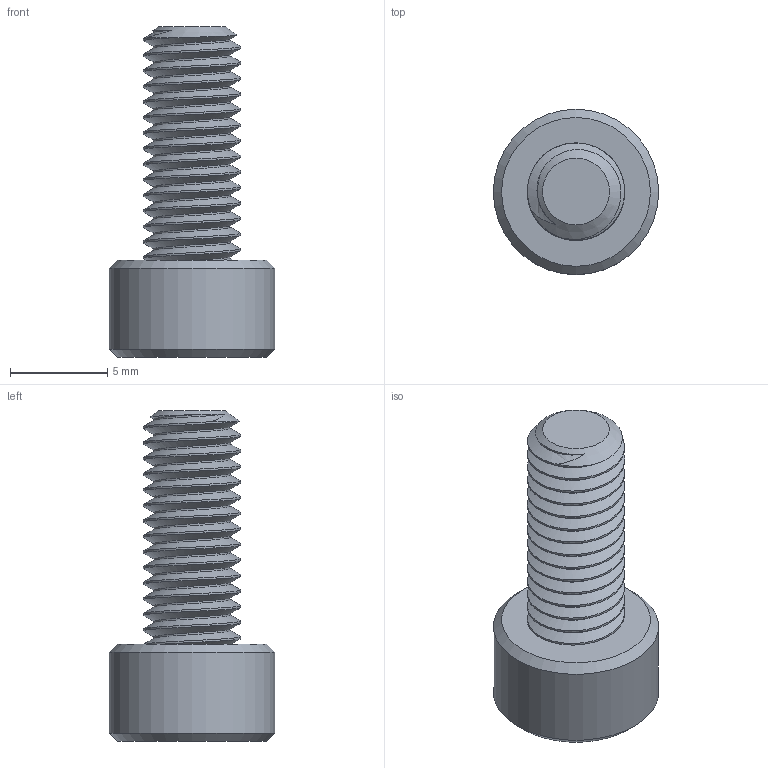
import cadquery as cq
import math

THREAD_DIAMETER = 5.0
PITCH = 0.8
SHANK_LENGTH = 12.0

HEAD_DIAMETER = 8.5
HEAD_HEIGHT = THREAD_DIAMETER
HEAD_CHAMFER = 0.05 * HEAD_DIAMETER

FLANK_HALF_ANGLE = math.radians(30.0)
FLAT_WIDTH = PITCH / 8
CREST_RADIUS = THREAD_DIAMETER / 2
THREAD_DEPTH = (PITCH / 2 - FLAT_WIDTH) / math.tan(FLANK_HALF_ANGLE)
ROOT_RADIUS = CREST_RADIUS - THREAD_DEPTH
CREST_START = 0.53
ROOT_OVERLAP = 0.05

TIP_RADIUS = 1.72
TIP_HEIGHT = 0.57

SHANK_BOTTOM = HEAD_HEIGHT - HEAD_CHAMFER
ENVELOPE_RADIUS = CREST_RADIUS + THREAD_DEPTH
SEAM_ANGLE = 100.0
TOTAL_LENGTH = HEAD_HEIGHT + SHANK_LENGTH

THREAD_START = HEAD_HEIGHT + CREST_START - 2 * PITCH
THREAD_HEIGHT = SHANK_LENGTH + 3 * PITCH


def make_head():
    """Round head, chamfered along both rims."""
    return (
        cq.Workplane("XY")
        .circle(HEAD_DIAMETER / 2)
        .extrude(HEAD_HEIGHT)
        .edges()
        .chamfer(HEAD_CHAMFER)
    )


def make_core():
    """Cylinder at the root radius, reaching beyond the end of the shank."""
    return (
        cq.Workplane("XY", origin=(0, 0, THREAD_START - PITCH))
        .circle(ROOT_RADIUS)
        .extrude(THREAD_HEIGHT + 2 * PITCH)
        .rotate((0, 0, 0), (0, 0, 1), SEAM_ANGLE)
    )


def make_ridge():
    """Right-hand helical ridge, longer than the shank at both ends."""
    inner_radius = ROOT_RADIUS - ROOT_OVERLAP
    crest_half_width = FLAT_WIDTH / 2
    inner_half_width = crest_half_width + (CREST_RADIUS - inner_radius) * math.tan(FLANK_HALF_ANGLE)
    helix = cq.Wire.makeHelix(PITCH, THREAD_HEIGHT, inner_radius).translate(cq.Vector(0, 0, THREAD_START))
    return (
        cq.Workplane("XZ")
        .moveTo(inner_radius, THREAD_START - inner_half_width)
        .lineTo(CREST_RADIUS, THREAD_START - crest_half_width)
        .lineTo(CREST_RADIUS, THREAD_START + crest_half_width)
        .lineTo(inner_radius, THREAD_START + inner_half_width)
        .close()
        .sweep(cq.Workplane(helix), isFrenet=True)
    )


def make_envelope():
    """Space kept when trimming: a wide rod ending in the tip cone."""
    cone_slope = TIP_HEIGHT / (CREST_RADIUS - TIP_RADIUS)
    cone_bottom = TOTAL_LENGTH - (ENVELOPE_RADIUS - TIP_RADIUS) * cone_slope
    return (
        cq.Workplane("XZ")
        .moveTo(0, SHANK_BOTTOM)
        .lineTo(ENVELOPE_RADIUS, SHANK_BOTTOM)
        .lineTo(ENVELOPE_RADIUS, cone_bottom)
        .lineTo(TIP_RADIUS, TOTAL_LENGTH)
        .lineTo(0, TOTAL_LENGTH)
        .close()
        .revolve(360, (0, 0), (0, 1))
        .rotate((0, 0, 0), (0, 0, 1), SEAM_ANGLE)
    )


def make_threaded_shank():
    """Core carrying the ridge, trimmed to length and to the tip cone."""
    return make_core().union(make_ridge()).intersect(make_envelope())


result = make_head().union(make_threaded_shank())